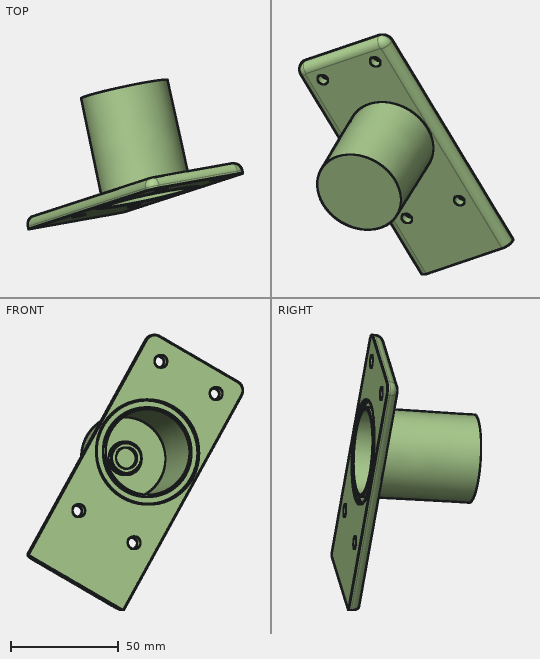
import cadquery as cq
PLATE_WIDTH = 52.0
PLATE_THICKNESS = 5.8
PLATE_TOP = 50.0
PLATE_BOTTOM = 70.0
CORNER_RADIUS = 4.7
BACK_EDGE_RADIUS = 4.3
FRONT_EDGE_CHAMFER = 0.3
SQUARE_END_RADIUS = 0.6

HOLE_DIAMETER = 6.0
HOLE_BACK_DIAMETER = 5.1
HOLE_SPACING_X = 30.0
HOLE_SPACING_Z = 80.0

CUP_DIAMETER = 41.8
CUP_END_DIAMETER = 41.1
CUP_LENGTH = 51.6
BORE_DIAMETER = 39.7
FLOOR_DIAMETER = 38.2
BORE_DEPTH = 49.7

GROOVE_OUTER_DIAMETER = 48.0
GROOVE_INNER_DIAMETER = CUP_DIAMETER
GROOVE_DEPTH = 1.8
GROOVE_CHAMFER = 0.5

BOSS_DIAMETER = 13.9
BOSS_FOOT_RADIUS = 0.9
BOSS_HOLE_DIAMETER = 10.0
BOSS_HEIGHT = 3.1

YAW = 8.9
PITCH = -8.9
ROLL = 28.8


def disc(diameter, start, end):
    """Cylinder on the bore axis between two distances behind the front face."""
    return cq.Workplane("XZ", origin=(0, start, 0)).circle(diameter / 2).extrude(start - end)


def cone(start_diameter, end_diameter, start, end):
    """Tapered disc on the bore axis between two distances behind the front face."""
    base = cq.Workplane("XZ", origin=(0, start, 0)).circle(start_diameter / 2)
    return base.workplane(offset=start - end).circle(end_diameter / 2).loft()


def make_plate():
    length = PLATE_TOP + PLATE_BOTTOM
    plate = cq.Workplane("XY").box(PLATE_WIDTH, PLATE_THICKNESS, length, centered=(True, False, False))
    plate = plate.translate((0, 0, -PLATE_BOTTOM))
    plate = plate.edges("|Y and >Z").fillet(CORNER_RADIUS)
    square_end = cq.selectors.BoxSelector(
        (-PLATE_WIDTH, -1.3, -PLATE_BOTTOM - 1.3), (PLATE_WIDTH, PLATE_THICKNESS + 1.3, -PLATE_BOTTOM + 1.3)
    )
    other_edges = cq.selectors.InverseSelector(square_end)
    plate = plate.faces(">Y").edges(other_edges).fillet(BACK_EDGE_RADIUS)
    plate = plate.faces("<Y").edges(other_edges).chamfer(FRONT_EDGE_CHAMFER)
    return plate.faces("<Z").edges(">Y").fillet(SQUARE_END_RADIUS)


def make_holes():
    hole = cone(HOLE_DIAMETER, HOLE_BACK_DIAMETER, 0, PLATE_THICKNESS)
    holes = cq.Workplane("XY")
    for x in (-HOLE_SPACING_X / 2, HOLE_SPACING_X / 2):
        for z in (-HOLE_SPACING_Z / 2, HOLE_SPACING_Z / 2):
            holes = holes.add(hole.translate((x, 0, z)))
    return holes.combine()


def make_groove():
    ring = disc(GROOVE_OUTER_DIAMETER, 0, GROOVE_DEPTH)
    flare = cone(GROOVE_OUTER_DIAMETER + 2 * GROOVE_CHAMFER, GROOVE_OUTER_DIAMETER, 0, GROOVE_CHAMFER)
    return ring.union(flare).cut(disc(GROOVE_INNER_DIAMETER, 0, GROOVE_DEPTH))


def make_boss():
    """Ring revolved about the bore axis, its foot flaring into the floor with a concave arc."""
    top = BORE_DEPTH - BOSS_HEIGHT
    inner = BOSS_HOLE_DIAMETER / 2
    outer = BOSS_DIAMETER / 2
    foot_start = BORE_DEPTH - BOSS_FOOT_RADIUS
    profile = (
        cq.Workplane("XY")
        .moveTo(inner, top)
        .lineTo(outer, top)
        .lineTo(outer, foot_start)
        .radiusArc((outer + BOSS_FOOT_RADIUS, BORE_DEPTH), -BOSS_FOOT_RADIUS)
        .lineTo(outer + BOSS_FOOT_RADIUS, CUP_LENGTH)
        .lineTo(inner, CUP_LENGTH)
        .close()
    )
    return profile.revolve(360, (0, 0, 0), (0, 1, 0))


part = make_plate().union(cone(CUP_DIAMETER, CUP_END_DIAMETER, 0, CUP_LENGTH))
part = part.cut(cone(BORE_DIAMETER, FLOOR_DIAMETER, 0, BORE_DEPTH))
part = part.cut(make_holes()).cut(make_groove())
part = part.union(make_boss())

origin = (0, 0, 0)
result = part.rotate(origin, (0, 0, 1), YAW).rotate(origin, (1, 0, 0), PITCH).rotate(origin, (0, 1, 0), ROLL)